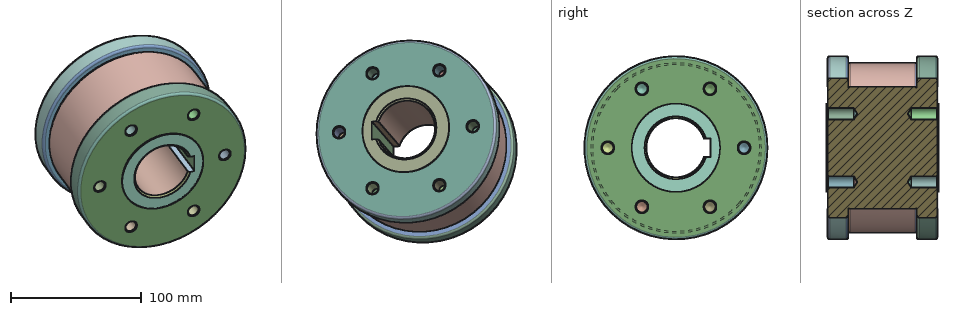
import cadquery as cq
import math

outer_diameter = 140.0
hub_length = 86.0
hub_diameter = 67.5
hub_step = 1.0
barrel_length = 52.2
barrel_diameter = 130.0
flange_edge_radius = 1.8
barrel_edge_radius = 1.33

bore_diameter = 45.0
bore_chamfer = 1.5
keyway_width = 14.0
keyway_reach = 26.3

hole_count = 6
hole_circle_diameter = 104.0
hole_diameter = 8.5
hole_chamfer = 0.7
hole_depth = 20.0
drill_point_angle = 118.0

flange_face = hub_length / 2 - hub_step
flange_width = flange_face - barrel_length / 2


def disc(diameter, length, start):
    """Cylinder about the X axis, running toward +X from start."""
    return cq.Workplane("YZ").workplane(offset=start).circle(diameter / 2).extrude(length)


def flange(start):
    return disc(outer_diameter, flange_width, start).edges().fillet(flange_edge_radius)


def rounded_barrel():
    return disc(barrel_diameter, barrel_length, -barrel_length / 2).edges().fillet(barrel_edge_radius)


def bore_cutter():
    """Bore, chamfered at both mouths, as one profile turned about X."""
    half = hub_length / 2
    radius = bore_diameter / 2
    mouth_radius = radius + bore_chamfer
    profile = [
        (-half, 0),
        (-half, mouth_radius),
        (-half + bore_chamfer, radius),
        (half - bore_chamfer, radius),
        (half, mouth_radius),
        (half, 0),
    ]
    return cq.Workplane("XY").polyline(profile).close().revolve(360, (0, 0, 0), (1, 0, 0))


def keyway_cutter():
    block = cq.Workplane("XY").box(hub_length, keyway_reach, keyway_width)
    return block.translate((0, keyway_reach / 2, 0))


def end_hole_cutter():
    """One blind hole in the -X flange face, placed on the X axis, with a conical bottom."""
    radius = hole_diameter / 2
    point_length = radius / math.tan(math.radians(drill_point_angle / 2))
    profile = [
        (-flange_face, 0),
        (-flange_face, radius + hole_chamfer),
        (-flange_face + hole_chamfer, radius),
        (-flange_face + hole_depth, radius),
        (-flange_face + hole_depth + point_length, 0),
    ]
    return cq.Workplane("XY").polyline(profile).close().revolve(360, (0, 0, 0), (1, 0, 0))


result = disc(hub_diameter, hub_length, -hub_length / 2)
result = result.union(rounded_barrel())
result = result.union(flange(-flange_face)).union(flange(flange_face - flange_width))
result = result.cut(bore_cutter()).cut(keyway_cutter())

near_hole = end_hole_cutter().translate((0, hole_circle_diameter / 2, 0))
far_hole = near_hole.mirror("YZ")
for index in range(hole_count):
    angle = index * 360 / hole_count
    for hole in (near_hole, far_hole):
        result = result.cut(hole.rotate((0, 0, 0), (1, 0, 0), angle))